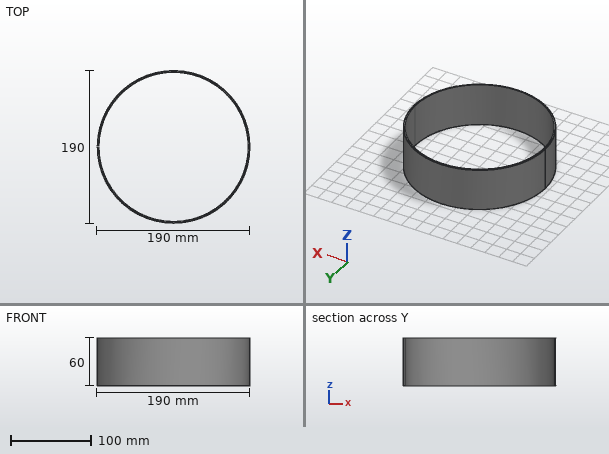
import cadquery as cq

outer_diameter = 190.0
height = 60.0
wall = 2.3
slit_width = 1.5
edge_chamfer = 0.5

outer_radius = outer_diameter / 2
slit_center_y = slit_width / 2


def make_band():
    """Thin cylindrical band with both outer rims chamfered, standing on the XY plane."""
    cylinder = cq.Workplane("XY").circle(outer_radius).extrude(height)
    cylinder = cylinder.faces("<Z or >Z").edges().chamfer(edge_chamfer)
    bore = cq.Workplane("XY").circle(outer_radius - wall).extrude(height)
    return cylinder.cut(bore)


def make_slit_cutter():
    """Block that splits the wall over its full height on the -X side."""
    slit_plane = cq.Workplane("XY").center(-outer_radius, slit_center_y)
    return slit_plane.rect(4 * wall, slit_width).extrude(height)


result = make_band().cut(make_slit_cutter())